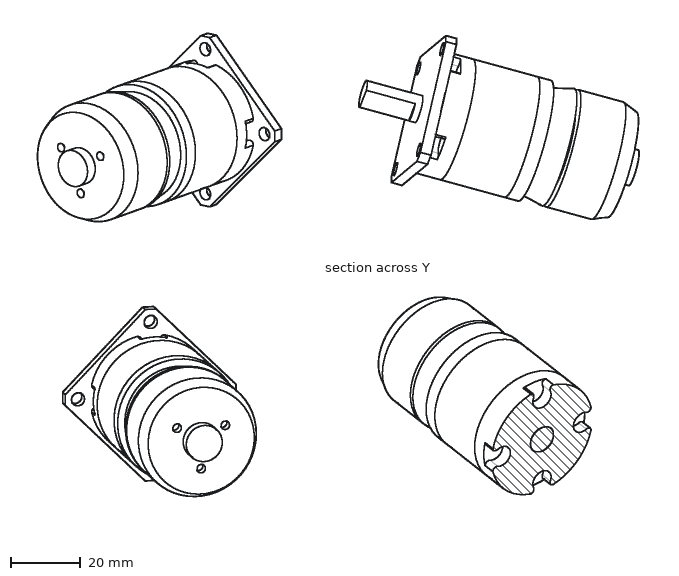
import cadquery as cq
import math


flange_thickness = 3.2
flange_side = 38.1
flange_span = 50.65
flange_hole_spacing = 30.48
flange_hole_diameter = 3.81
flange_hole_count = 4
flange_hole_radius = flange_hole_spacing / math.sqrt(2)

gearbox_diameter = 36.0
head_length = 8.15
ring_gear_length = 19.4
mount_plate_length = 4.2

slot_depth = 3.7
slot_pocket_radius = 3.16
slot_mouth_width = 8.0
slot_lip_radius = 1.25
slot_count = 4

collar_small_diameter = 31.8
collar_middle_diameter = 33.2
collar_large_diameter = 35.0
collar_length = 7.15

neck_diameter = 25.0
neck_length = 1.2
motor_diameter = 35.0
motor_straight_length = 13.6
motor_taper_length = 4.4
motor_end_diameter = 31.5
bearing_boss_diameter = 10.67
bearing_boss_length = 3.58
motor_hole_diameter = 2.5
motor_hole_depth = 3.0
motor_hole_radius = 8.255
motor_hole_angles = (30, 150, 270)

shaft_diameter = 8.0
shaft_projection = 16.8
shaft_flat_start = 2.0
shaft_flat_height = 2.6

head_front = -flange_thickness
ring_gear_front = head_front - head_length
mount_front = ring_gear_front - ring_gear_length
collar_front = mount_front - mount_plate_length
neck_front = collar_front - collar_length
motor_front = neck_front - neck_length
taper_front = motor_front - motor_straight_length
motor_back = taper_front - motor_taper_length


def section_at(y):
    """Sketch plane facing -Y at the given Y, with local x along X and local y along Z."""
    return cq.Workplane("XZ", origin=(0, y, 0))


def cylinder(diameter, y_start, length):
    """Cylinder on the Y axis running from y_start towards -Y."""
    return section_at(y_start).circle(diameter / 2).extrude(length)


def revolve_about_y(profile):
    return profile.close().revolve(360, (0, 0, 0), (0, 1, 0))


def make_flange():
    corner_trim = section_at(0).rect(flange_span, flange_span).extrude(flange_thickness)
    plate = (
        section_at(0)
        .transformed(rotate=(0, 0, 45))
        .rect(flange_side, flange_side)
        .extrude(flange_thickness)
        .intersect(corner_trim)
    )
    holes = (
        section_at(0)
        .polarArray(flange_hole_radius, 0, 360, flange_hole_count)
        .circle(flange_hole_diameter / 2)
        .extrude(flange_thickness)
    )
    return plate.cut(holes).cut(cylinder(shaft_diameter, 0, flange_thickness))


def make_screw_slot():
    """Slot opening towards +Z: a round pocket that runs smoothly into a convex lip on each side."""
    half_mouth = slot_mouth_width / 2
    lip_top = math.sqrt((gearbox_diameter / 2) ** 2 - half_mouth**2)
    lip_centre_z = lip_top - slot_lip_radius

    centre_distance = slot_pocket_radius + slot_lip_radius
    lean = math.asin(half_mouth / centre_distance)
    pocket_centre_z = lip_centre_z - centre_distance * math.cos(lean)
    touch_x = slot_pocket_radius * math.sin(lean)
    touch_z = pocket_centre_z + slot_pocket_radius * math.cos(lean)

    lip_middle_x = half_mouth - slot_lip_radius
    outside = gearbox_diameter / 2 + slot_lip_radius
    return (
        section_at(head_front)
        .moveTo(-half_mouth, outside)
        .lineTo(-half_mouth, lip_top)
        .threePointArc((-lip_middle_x, lip_centre_z), (-touch_x, touch_z))
        .threePointArc((0, pocket_centre_z - slot_pocket_radius), (touch_x, touch_z))
        .threePointArc((lip_middle_x, lip_centre_z), (half_mouth, lip_top))
        .lineTo(half_mouth, outside)
        .close()
        .extrude(slot_depth)
    )


def make_gearbox_head():
    head = cylinder(gearbox_diameter, head_front, head_length)
    slot = make_screw_slot()
    for index in range(slot_count):
        head = head.cut(slot.rotate((0, 0, 0), (0, 1, 0), index * 360 / slot_count))
    return head.cut(cylinder(shaft_diameter, head_front, head_length))


def make_ring_gear():
    return cylinder(gearbox_diameter, ring_gear_front, ring_gear_length)


def make_motor_mount():
    """End plate of the gearbox with a collar that flares in a shallow curve towards the motor."""
    profile = (
        cq.Workplane("XY")
        .moveTo(0, mount_front)
        .lineTo(gearbox_diameter / 2, mount_front)
        .lineTo(gearbox_diameter / 2, collar_front)
        .lineTo(collar_small_diameter / 2, collar_front)
        .threePointArc(
            (collar_middle_diameter / 2, (collar_front + neck_front) / 2),
            (collar_large_diameter / 2, neck_front),
        )
        .lineTo(0, neck_front)
    )
    return revolve_about_y(profile)


def make_motor():
    profile = (
        cq.Workplane("XY")
        .moveTo(0, neck_front)
        .lineTo(neck_diameter / 2, neck_front)
        .lineTo(neck_diameter / 2, motor_front)
        .lineTo(motor_diameter / 2, motor_front)
        .lineTo(motor_diameter / 2, taper_front)
        .lineTo(motor_end_diameter / 2, motor_back)
        .lineTo(bearing_boss_diameter / 2, motor_back)
        .lineTo(bearing_boss_diameter / 2, motor_back - bearing_boss_length)
        .lineTo(0, motor_back - bearing_boss_length)
    )
    motor = revolve_about_y(profile)
    for angle in motor_hole_angles:
        hole_x = motor_hole_radius * math.cos(math.radians(angle))
        hole_z = motor_hole_radius * math.sin(math.radians(angle))
        hole = (
            section_at(motor_back + motor_hole_depth)
            .center(hole_x, hole_z)
            .circle(motor_hole_diameter / 2)
            .extrude(motor_hole_depth)
        )
        motor = motor.cut(hole)
    return motor


def make_shaft():
    """Shaft from the ring gear out through the head and flange, round until the D flat begins."""
    shaft = cylinder(shaft_diameter, shaft_projection, shaft_projection - ring_gear_front)
    below_flat = cq.Workplane("XY").box(
        shaft_diameter,
        shaft_projection - shaft_flat_start,
        shaft_diameter,
        centered=(True, False, False),
    )
    below_flat = below_flat.translate((0, shaft_flat_start, -shaft_flat_height - shaft_diameter))
    return shaft.cut(below_flat)


flange = make_flange()
gearbox_head = make_gearbox_head()
ring_gear = make_ring_gear()
motor_mount = make_motor_mount()
motor = make_motor()
shaft = make_shaft()

result = cq.Compound.makeCompound(
    [
        flange.val(),
        gearbox_head.val(),
        ring_gear.val(),
        motor_mount.val(),
        motor.val(),
        shaft.val(),
    ]
)